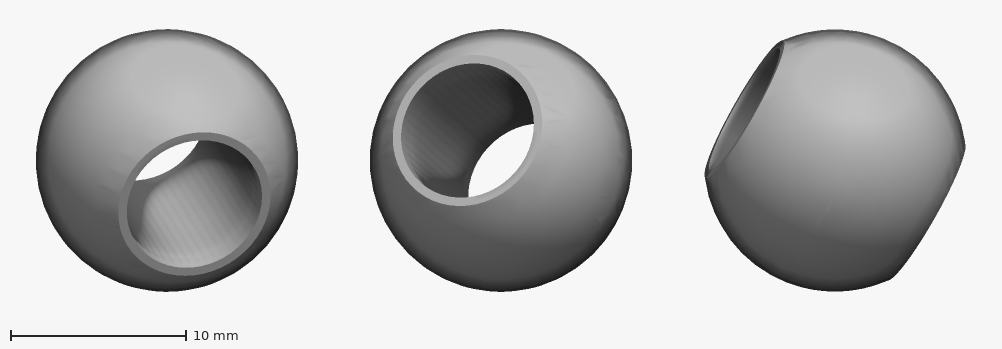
import cadquery as cq

ball_diameter = 15.0
width_across_flats = 12.0
bore_diameter = 8.0

ball = cq.Workplane("XY").sphere(ball_diameter / 2)

flats_envelope = cq.Workplane("XY").box(width_across_flats, 2 * ball_diameter, 2 * ball_diameter)

bore = cq.Workplane("YZ").circle(bore_diameter / 2).extrude(ball_diameter, both=True)

result = ball.intersect(flats_envelope).cut(bore)